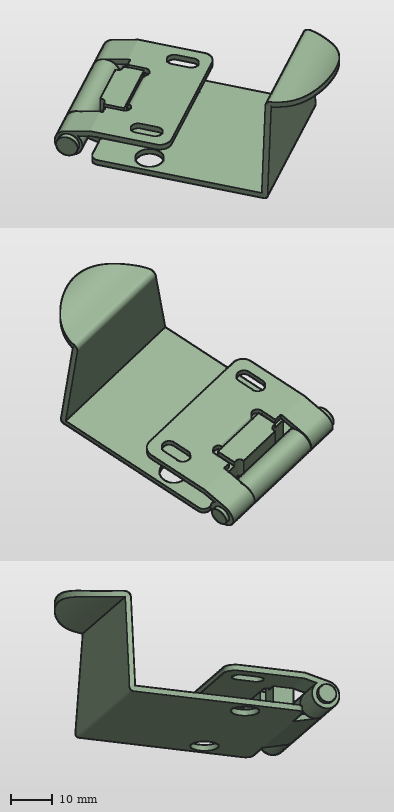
import cadquery as cq
import math


sheet = 1.5
half_width = 19.0
leaf_height = 5.0
knuckle_radius = 3.55
ramp_end = 5.5
knuckle_half = 10.8
knuckle_gap = 0.2

pin_radius = 2.3
pin_head_radius = 2.8
pin_head_length = 1.4
pin_stub_length = 1.1

upper_end = 25.4
upper_corner_radius = 3.05
slot_length = 8.05
slot_width = 3.7
slot_x = 18.5
fixing_y = 14.25

knuckle_opening_end = 6.15
window_half = 8.8
block_start = 5.35
block_end = 10.6
block_half = knuckle_half
raised_half = 7.8
block_bottom = -3.05
tongue_start = 3.9
tongue_half = 6.0
tongue_bottom = block_bottom + sheet
tongue_fillet = 1.05
relief_radius = sheet
web_half = window_half - 2 * relief_radius
web_corner_radius = 1.25

lower_corner_radius = 2.0
access_radius = 3.5
access_x = 19.2

wall_foot = 51.0
wall_lean = 0.4
foot_radius = 1.0
lip_top = 22.0
lip_half = 15.0
lip_curl_start = 54.2
lip_tip = 62.4
lip_tip_height = 24.3
lip_plan_radius = 15.5


def block(x0, x1, y0, y1, z0, z1):
    """Box given by its limits along each axis."""
    return cq.Workplane("XY").box(x1 - x0, y1 - y0, z1 - z0, centered=False).translate((x0, y0, z0))


def rod(radius, y0, y1):
    """Cylinder on the hinge axis."""
    return cq.Workplane("XZ", origin=(0, y1, 0)).circle(radius).extrude(y1 - y0)


def extrude_along_y(profile, y0, y1):
    """Extrude an XZ profile, sketched on the plane Y = 0, between two Y limits."""
    return profile.extrude(y1 - y0).translate((0, y1, 0))


def knuckle(y0, y1, side):
    """Solid knuckle with its sloped strip, on the upper (side = 1) or lower (side = -1) leaf."""
    corner_distance = math.hypot(ramp_end, leaf_height)
    tangent = math.atan2(leaf_height, ramp_end) + math.acos(knuckle_radius / corner_distance)
    slope = tangent - math.pi / 2
    inner_radius = knuckle_radius - sheet
    strip_points = [
        (knuckle_radius * math.cos(tangent), side * knuckle_radius * math.sin(tangent)),
        (ramp_end, side * leaf_height),
        (ramp_end + sheet * math.tan(slope / 2), side * (leaf_height - sheet)),
        (inner_radius * math.cos(tangent), side * inner_radius * math.sin(tangent)),
    ]
    strip = extrude_along_y(cq.Workplane("XZ").polyline(strip_points).close(), y0, y1)
    return rod(knuckle_radius, y0, y1).union(strip)


def cut_window(leaf):
    """Opening around the middle knuckle and the catch block, with round bend reliefs."""
    bottom = leaf_height - sheet
    leaf = leaf.cut(block(0, knuckle_opening_end, -knuckle_half, knuckle_half, bottom, leaf_height))
    leaf = leaf.cut(block(0, block_end, -window_half, window_half, bottom, leaf_height))
    relief_y = window_half - relief_radius
    reliefs = (
        cq.Workplane("XY", origin=(0, 0, bottom))
        .pushPoints([(block_end, -relief_y), (block_end, relief_y)])
        .circle(relief_radius)
        .extrude(sheet)
    )
    leaf = leaf.cut(reliefs)
    edge = block(block_end, block_end + sheet, -relief_y, relief_y, bottom, leaf_height)
    roll = extrude_along_y(
        cq.Workplane("XZ").center(block_end + sheet, bottom).circle(sheet), -relief_y, relief_y
    )
    return leaf.cut(edge.cut(roll))


def make_catch_block():
    """Block flush with the upper leaf, its tongue toward the hinge and the web that holds it."""
    leaf_underside = leaf_height - sheet
    body = block(block_start, block_end, -block_half, block_half, block_bottom, leaf_underside)
    raised = block(block_start, block_end, -raised_half, raised_half, leaf_underside, leaf_height)
    tongue = block(tongue_start, block_start, -tongue_half, tongue_half, tongue_bottom, leaf_height)
    for side in (-1, 1):
        start = side * tongue_half
        fillet_end = side * (tongue_half + tongue_fillet)
        fillet_start = block_start - tongue_fillet
        bend = tongue_fillet * (1 - math.sqrt(0.5))
        corner = (
            cq.Workplane("XY", origin=(0, 0, tongue_bottom))
            .moveTo(fillet_start, start)
            .threePointArc((block_start - bend, start + side * bend), (block_start, fillet_end))
            .lineTo(block_start, start)
            .close()
            .extrude(leaf_height - tongue_bottom)
        )
        tongue = tongue.union(corner)
    web = block(block_end, block_end + sheet, -web_half, web_half, block_bottom, leaf_underside)
    web = web.edges(">X and <Z").fillet(web_corner_radius)
    return body.union(raised).union(tongue).union(web)


def make_upper_leaf():
    """Upper leaf with its two knuckles, the catch block and the pin fixed in the knuckles."""
    leaf = block(ramp_end, upper_end, -half_width, half_width, leaf_height - sheet, leaf_height)
    leaf = leaf.edges("|Z and >X").fillet(upper_corner_radius)
    slots = (
        cq.Workplane("XY", origin=(0, 0, leaf_height - sheet))
        .pushPoints([(slot_x, -fixing_y), (slot_x, fixing_y)])
        .slot2D(slot_length, slot_width)
        .extrude(sheet)
    )
    for y0, y1 in ((-half_width, -knuckle_half), (knuckle_half, half_width)):
        leaf = leaf.union(knuckle(y0, y1, 1))
    leaf = cut_window(leaf.cut(slots)).union(make_catch_block())
    pin = rod(pin_radius, -half_width, half_width + pin_stub_length)
    pin_head = rod(pin_head_radius, -half_width - pin_head_length, -half_width)
    return leaf.union(pin).union(pin_head)


def make_end_wall():
    """Leaning, tapered wall that rises from the end of the lower leaf."""
    foot = -leaf_height + sheet
    top = lip_top - sheet
    wall = extrude_along_y(
        cq.Workplane("XZ").polyline([
            (wall_foot - sheet, foot),
            (wall_foot, foot),
            (wall_foot - wall_lean, top),
            (wall_foot - wall_lean - sheet, top),
        ]).close(),
        -half_width,
        half_width,
    )
    taper = (
        cq.Workplane("YZ")
        .polyline([(-half_width, foot), (half_width, foot), (lip_half, top), (-lip_half, top)])
        .close()
        .extrude(lip_tip)
    )
    return wall.intersect(taper)


def make_lip():
    """Lip bent off the wall top, curling upward and rounded in plan."""
    start = wall_foot - wall_lean - sheet
    bottom = lip_top - sheet
    run = lip_tip - lip_curl_start
    rise = lip_tip_height - lip_top
    curl_radius = (run**2 + rise**2) / (2 * rise)
    curl_centre = lip_top + curl_radius
    under_radius = curl_radius + sheet

    def on_curl(radius, x):
        return (x, curl_centre - math.sqrt(radius**2 - (x - lip_curl_start)**2))

    middle = lip_curl_start + run / 2
    bend = sheet * (1 - math.sqrt(0.5))
    profile = (
        cq.Workplane("XZ")
        .moveTo(start, bottom)
        .threePointArc((start + bend, lip_top - bend), (start + sheet, lip_top))
        .lineTo(lip_curl_start, lip_top)
        .threePointArc(on_curl(curl_radius, middle), (lip_tip, lip_tip_height))
        .lineTo(*on_curl(under_radius, lip_tip))
        .threePointArc(on_curl(under_radius, middle), (lip_curl_start, bottom))
        .close()
    )
    lip = extrude_along_y(profile, -lip_half, lip_half)
    plan_centre = lip_tip - lip_plan_radius
    side_end = plan_centre + math.sqrt(lip_plan_radius**2 - lip_half**2)
    outline = (
        cq.Workplane("XY")
        .moveTo(start, -lip_half)
        .lineTo(side_end, -lip_half)
        .threePointArc((lip_tip, 0), (side_end, lip_half))
        .lineTo(start, lip_half)
        .close()
        .extrude(lip_tip_height)
    )
    return lip.intersect(outline)


def make_lower_leaf():
    """Lower leaf with the middle knuckle, bored for the pin, and the end wall with its lip."""
    leaf = block(ramp_end, wall_foot, -half_width, half_width, -leaf_height, -leaf_height + sheet)
    leaf = leaf.edges("|Z and <X").fillet(lower_corner_radius)
    leaf = leaf.edges(">X and <Z").fillet(foot_radius)
    access_holes = (
        cq.Workplane("XY", origin=(0, 0, -leaf_height))
        .pushPoints([(access_x, -fixing_y), (access_x, fixing_y)])
        .circle(access_radius)
        .extrude(sheet)
    )
    leaf = leaf.cut(access_holes)
    leaf = leaf.union(knuckle(-knuckle_half + knuckle_gap, knuckle_half, -1))
    leaf = leaf.cut(rod(pin_radius, -half_width, half_width))
    return leaf.union(make_end_wall()).union(make_lip())


upper_leaf = make_upper_leaf()
lower_leaf = make_lower_leaf()

result = cq.Compound.makeCompound([upper_leaf.solids().val(), lower_leaf.solids().val()])